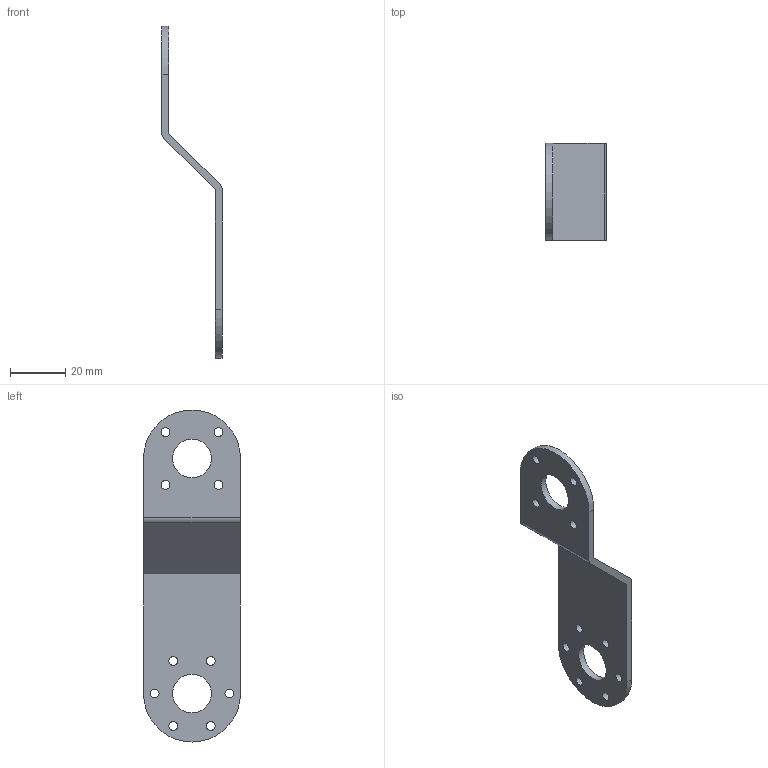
import cadquery as cq
import math

WIDTH = 35.0
THICKNESS = 2.5
DEPTH = 21.75
HEIGHT = 119.85
BEND_ANGLE = 45.0
UPPER_LEG = 38.85

BORE_DIAMETER = 14.0
SCREW_DIAMETER = 3.2
BOLT_CIRCLE_DIAMETER = 27.0
UPPER_SCREWS = 4
UPPER_START_ANGLE = 45.0
LOWER_SCREWS = 6
LOWER_START_ANGLE = 0.0

END_RADIUS = WIDTH / 2
TOP_Z = HEIGHT / 2
BOTTOM_Z = -HEIGHT / 2
UPPER_CENTER_Z = TOP_Z - END_RADIUS
LOWER_CENTER_Z = BOTTOM_Z + END_RADIUS

TILT = math.radians(BEND_ANGLE)
UPPER_CORNER_X = THICKNESS
LOWER_CORNER_X = DEPTH - THICKNESS
WEB_DROP = (LOWER_CORNER_X - UPPER_CORNER_X) / math.tan(TILT) + THICKNESS / math.sin(TILT)
UPPER_BEND_Z = TOP_Z - UPPER_LEG
LOWER_BEND_Z = UPPER_BEND_Z - WEB_DROP


def bend_point(corner_x, corner_z, side, angle):
    """Point on the outer arc of a bend; side is -1 toward -X/-Z and +1 toward +X/+Z."""
    return (
        corner_x + side * THICKNESS * math.cos(angle),
        corner_z + side * THICKNESS * math.sin(angle),
    )


def make_strap():
    """Side profile of the bent sheet, extruded across the width."""
    return (
        cq.Workplane("XZ")
        .moveTo(0, TOP_Z)
        .lineTo(UPPER_CORNER_X, TOP_Z)
        .lineTo(UPPER_CORNER_X, UPPER_BEND_Z)
        .lineTo(*bend_point(LOWER_CORNER_X, LOWER_BEND_Z, 1, TILT))
        .threePointArc(
            bend_point(LOWER_CORNER_X, LOWER_BEND_Z, 1, TILT / 2),
            bend_point(LOWER_CORNER_X, LOWER_BEND_Z, 1, 0),
        )
        .lineTo(DEPTH, BOTTOM_Z)
        .lineTo(LOWER_CORNER_X, BOTTOM_Z)
        .lineTo(LOWER_CORNER_X, LOWER_BEND_Z)
        .lineTo(*bend_point(UPPER_CORNER_X, UPPER_BEND_Z, -1, TILT))
        .threePointArc(
            bend_point(UPPER_CORNER_X, UPPER_BEND_Z, -1, TILT / 2),
            bend_point(UPPER_CORNER_X, UPPER_BEND_Z, -1, 0),
        )
        .close()
        .extrude(WIDTH / 2, both=True)
    )


def make_rounded_envelope():
    """Full-depth slot shape that rounds both ends of the strap."""
    return cq.Workplane("YZ").slot2D(HEIGHT, WIDTH, 90).extrude(DEPTH)


def make_hole_pattern(center_z, screw_count, start_angle):
    """Central bore and its ring of screw holes, as cutters along X."""
    plane = cq.Workplane("YZ").center(0, center_z)
    bore = plane.circle(BORE_DIAMETER / 2).extrude(DEPTH)
    screws = (
        plane.polarArray(BOLT_CIRCLE_DIAMETER / 2, start_angle, 360, screw_count)
        .circle(SCREW_DIAMETER / 2)
        .extrude(DEPTH)
    )
    return bore.union(screws)


result = (
    make_strap()
    .intersect(make_rounded_envelope())
    .cut(make_hole_pattern(UPPER_CENTER_Z, UPPER_SCREWS, UPPER_START_ANGLE))
    .cut(make_hole_pattern(LOWER_CENTER_Z, LOWER_SCREWS, LOWER_START_ANGLE))
)